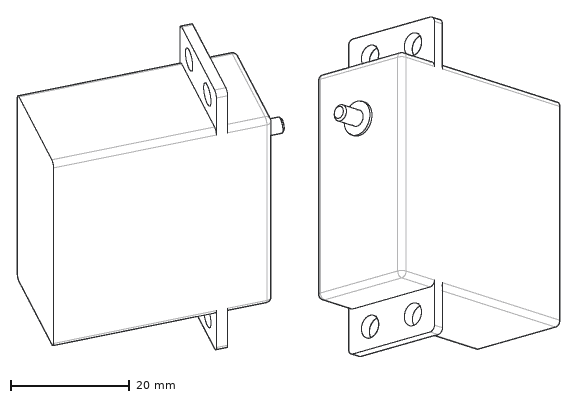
import cadquery as cq

case_width = 20.0
case_depth = 39.0
case_height = 40.0
edge_radius = 1.0

tab_length = 8.0
plate_thickness = 2.0
plate_start = 29.0
plate_height = case_height + 2 * tab_length
hole_diameter = 4.0
hole_spacing_x = 10.0
hole_spacing_z = case_height + tab_length

shaft_offset = 10.0
shaft_diameter = 2.85
shaft_length = 5.0
shaft_chamfer = 0.375
collar_diameter = 6.0
collar_height = 0.5


def rounded_block(height, start, depth):
    """Block of case width along +Y from Y = start, with its four Y edges rounded."""
    block = cq.Workplane("XY").box(case_width, depth, height, centered=(True, False, True))
    return block.translate((0, start, 0)).edges("|Y").fillet(edge_radius)


def output_cylinder(diameter, length):
    """Cylinder rising along +Y from the output face, on the shaft axis."""
    foot = cq.Plane(origin=(0, case_depth, shaft_offset), xDir=(1, 0, 0), normal=(0, 1, 0))
    return cq.Workplane(foot).circle(diameter / 2).extrude(length)


def make_case():
    block = rounded_block(case_height, 0, case_depth)
    return block.faces(">Y").edges().fillet(edge_radius)


def make_plate():
    return rounded_block(plate_height, plate_start, plate_thickness)


def make_screw_holes():
    plate_face = cq.Workplane("XZ", origin=(0, plate_start + plate_thickness, 0))
    centres = plate_face.rarray(hole_spacing_x, hole_spacing_z, 2, 2)
    return centres.circle(hole_diameter / 2).extrude(plate_thickness)


def make_shaft():
    shaft = output_cylinder(shaft_diameter, shaft_length)
    shaft = shaft.faces(">Y").edges().chamfer(shaft_chamfer)
    return shaft.union(output_cylinder(collar_diameter, collar_height))


plate = make_plate().cut(make_screw_holes())
result = make_case().union(plate).union(make_shaft())